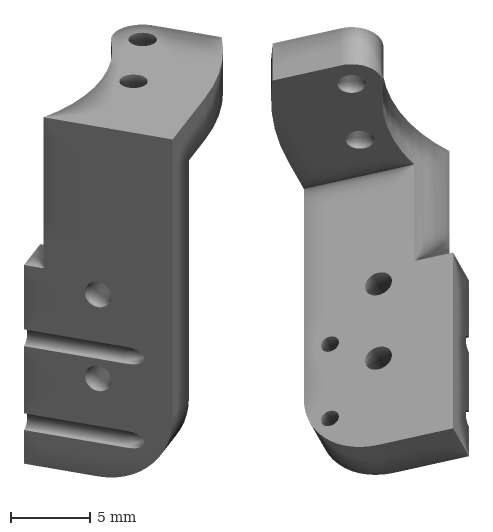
import cadquery as cq
import math

width = 10.0
depth = 14.0
height = 25.0
thickness = 3.0
corner_radius = 5.0
step_height = 14.2

arc_center_x = -8.5
arc_center_y = 6.0
outer_radius = width - arc_center_x
inner_radius = 11.5
tip_radius = 2.0

hole_diameter = 1.8
plate_hole_x = width / 2
plate_hole_heights = (7.0, 13.0)
arm_hole_circle_radius = inner_radius + tip_radius
arm_hole_ys = (6.5, depth - tip_radius)

channel_diameter = 1.2
channel_heights = (3.0, 9.0)
channel_straight_length = 6.5
channel_bend_radius = 1.75


def arc_x(radius, y):
    """X of the point at the given Y on an arc about the arm centre."""
    return arc_center_x + math.sqrt(radius**2 - (y - arc_center_y) ** 2)


def arm_profile():
    """Plan outline of the arm, with a round tip tangent to the inner arc."""
    tip_y = depth - tip_radius
    tip_x = arc_x(arm_hole_circle_radius, tip_y)
    tangent_y = arc_center_y + (tip_y - arc_center_y) * inner_radius / arm_hole_circle_radius
    outer_mid_y = (arc_center_y + depth) / 2
    return (
        cq.Workplane("XY")
        .moveTo(arc_x(inner_radius, 0), 0)
        .lineTo(width, 0)
        .lineTo(width, arc_center_y)
        .threePointArc((arc_x(outer_radius, outer_mid_y), outer_mid_y), (arc_x(outer_radius, depth), depth))
        .lineTo(tip_x, depth)
        .threePointArc((tip_x - tip_radius, tip_y), (arc_x(inner_radius, tangent_y), tangent_y))
        .threePointArc((arc_x(inner_radius, arc_center_y), arc_center_y), (arc_x(inner_radius, 0), 0))
        .close()
    )


def make_body():
    """Upright plate with a step on one side and the curved arm on top."""
    column = arm_profile().extrude(height)
    arm = column.intersect(
        cq.Workplane("XY").box(width, depth, thickness, centered=False).translate((0, 0, height - thickness))
    )
    upright = column.intersect(cq.Workplane("XY").box(width, thickness, height, centered=False))
    lower_plate = cq.Workplane("XY").box(width, thickness, step_height, centered=False)
    body = upright.union(lower_plate).union(arm)
    return body.edges(cq.selectors.NearestToPointSelector((width, thickness / 2, 0))).fillet(corner_radius)


def make_channel(z):
    """Round channel centred on the front face, bending a quarter turn out of the back."""
    bend_end_x = channel_straight_length + channel_bend_radius
    bend_mid_x = channel_straight_length + channel_bend_radius * math.sin(math.pi / 4)
    bend_mid_y = channel_bend_radius * (1 - math.cos(math.pi / 4))
    path = (
        cq.Workplane("XY", origin=(0, 0, z))
        .lineTo(channel_straight_length, 0)
        .threePointArc((bend_mid_x, bend_mid_y), (bend_end_x, channel_bend_radius))
        .lineTo(bend_end_x, thickness)
    )
    return cq.Workplane("YZ", origin=(0, 0, z)).circle(channel_diameter / 2).sweep(path)


result = make_body()

plate_hole_points = [(plate_hole_x, z) for z in plate_hole_heights]
plate_holes = cq.Workplane("XZ").pushPoints(plate_hole_points).circle(hole_diameter / 2).extrude(-thickness)
result = result.cut(plate_holes)

arm_hole_points = [(arc_x(arm_hole_circle_radius, y), y) for y in arm_hole_ys]
arm_holes = (
    cq.Workplane("XY", origin=(0, 0, height - thickness))
    .pushPoints(arm_hole_points)
    .circle(hole_diameter / 2)
    .extrude(thickness)
)
result = result.cut(arm_holes)

for channel_z in channel_heights:
    result = result.cut(make_channel(channel_z))